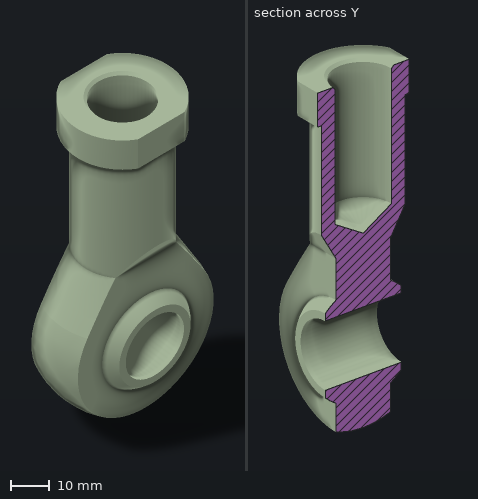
import cadquery as cq
import math

total_height = 102.0
head_radius = 25.0
head_width = 18.0
head_center_z = head_radius

shank_radius = 27.5 / 2
shank_bottom_z = 52.0
collar_diameter = 34.0
collar_height = 10.0
collar_flat_width = 30.0
shoulder_angle = math.radians(30)

ball_diameter = 35.0
ball_width = 25.0
eye_diameter = 20.0

clearance = 1.0

bore_diameter = 18.4
bore_mouth_diameter = 20.0
bore_depth = 40.0
drill_tip_angle = math.radians(118)


def make_body():
    """Spherical head running tangentially through a cone into the shank."""
    neck_height = shank_bottom_z - head_center_z
    neck_distance = math.hypot(shank_radius, neck_height)
    neck_angle = math.atan2(neck_height, shank_radius)
    tangent_angle = neck_angle - math.acos(head_radius / neck_distance)

    def head_point(angle):
        return (head_radius * math.cos(angle), head_center_z + head_radius * math.sin(angle))

    bottom_angle = -math.pi / 2
    middle_angle = (bottom_angle + tangent_angle) / 2
    return (
        cq.Workplane("XZ")
        .moveTo(0, 0)
        .threePointArc(head_point(middle_angle), head_point(tangent_angle))
        .lineTo(shank_radius, shank_bottom_z)
        .lineTo(shank_radius, total_height)
        .lineTo(0, total_height)
        .close()
        .revolve(360, (0, 0), (0, 1))
    )


def make_side_cutter(side):
    """Block that flattens one side of the head and slopes its shoulder."""
    face_x = head_width / 2
    outer_x = head_radius + clearance
    shoulder_top_z = shank_bottom_z + (outer_x - face_x) / math.tan(shoulder_angle)
    return (
        cq.Workplane("XZ")
        .polyline([
            (side * face_x, -clearance),
            (side * face_x, shank_bottom_z),
            (side * outer_x, shoulder_top_z),
            (side * outer_x, -clearance),
        ])
        .close()
        .extrude(head_radius + clearance, both=True)
    )


def make_collar():
    """Round collar with two flats facing along X."""
    flats = cq.Workplane("XY").box(
        collar_flat_width, collar_diameter, collar_height, centered=(True, True, False)
    )
    collar = cq.Workplane("XY").circle(collar_diameter / 2).extrude(collar_height).intersect(flats)
    return collar.translate((0, 0, total_height - collar_height))


def make_bore():
    """Blind bore with a 45 degree mouth chamfer and a conical drill tip."""
    bore_radius = bore_diameter / 2
    mouth_radius = bore_mouth_diameter / 2
    floor_z = total_height - bore_depth
    return (
        cq.Workplane("XZ")
        .polyline([
            (0, total_height),
            (mouth_radius, total_height),
            (bore_radius, total_height - (mouth_radius - bore_radius)),
            (bore_radius, floor_z),
            (0, floor_z - bore_radius / math.tan(drill_tip_angle / 2)),
        ])
        .close()
        .revolve(360, (0, 0), (0, 1))
    )


def make_ball():
    """Solid bearing ball with flat ends, turned about an axis along X."""
    ball_radius = ball_diameter / 2
    end_x = ball_width / 2
    end_radius = math.sqrt(ball_radius**2 - end_x**2)
    ball = (
        cq.Workplane("XY")
        .moveTo(-end_x, 0)
        .lineTo(-end_x, end_radius)
        .threePointArc((0, ball_radius), (end_x, end_radius))
        .lineTo(end_x, 0)
        .close()
        .revolve(360, (0, 0), (1, 0))
    )
    return ball.translate((0, 0, head_center_z))


def make_eye():
    """Through hole along X in the ball."""
    return (
        cq.Workplane("YZ", origin=(-ball_width, 0, head_center_z))
        .circle(eye_diameter / 2)
        .extrude(2 * ball_width)
    )


body = make_body()
for side in (-1, 1):
    body = body.cut(make_side_cutter(side))

result = body.union(make_collar()).cut(make_bore()).union(make_ball()).cut(make_eye())